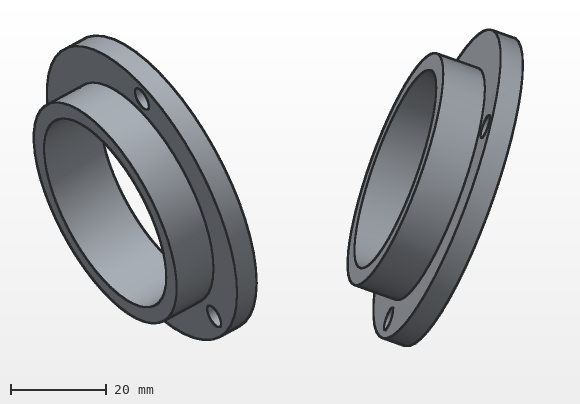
import cadquery as cq

flange_diameter = 68.5
flange_thickness = 5.1
collar_diameter = 51.5
bore_diameter = 44.0
total_depth = 14.5
hole_diameter = 5.0
hole_count = 3
bolt_circle_radius = 30.0
first_hole_angle = 90.0

collar_length = total_depth - flange_thickness


def make_flange():
    """Flange disc from the back face at Y = 0 toward -Y."""
    return cq.Workplane("XZ").circle(flange_diameter / 2).extrude(flange_thickness)


def add_collar(body):
    """Concentric collar on the -Y face of the flange."""
    collar = (
        cq.Workplane("XZ", origin=(0, -flange_thickness, 0))
        .circle(collar_diameter / 2)
        .extrude(collar_length)
    )
    return body.union(collar)


def cut_bore(body):
    """Bore through the collar and the flange."""
    bore = cq.Workplane("XZ").circle(bore_diameter / 2).extrude(total_depth)
    return body.cut(bore)


def cut_bolt_holes(body):
    """Evenly spaced through holes in the flange rim."""
    holes = (
        cq.Workplane("XZ")
        .polarArray(bolt_circle_radius, first_hole_angle, 360, hole_count)
        .circle(hole_diameter / 2)
        .extrude(flange_thickness)
    )
    return body.cut(holes)


result = cut_bolt_holes(cut_bore(add_collar(make_flange())))